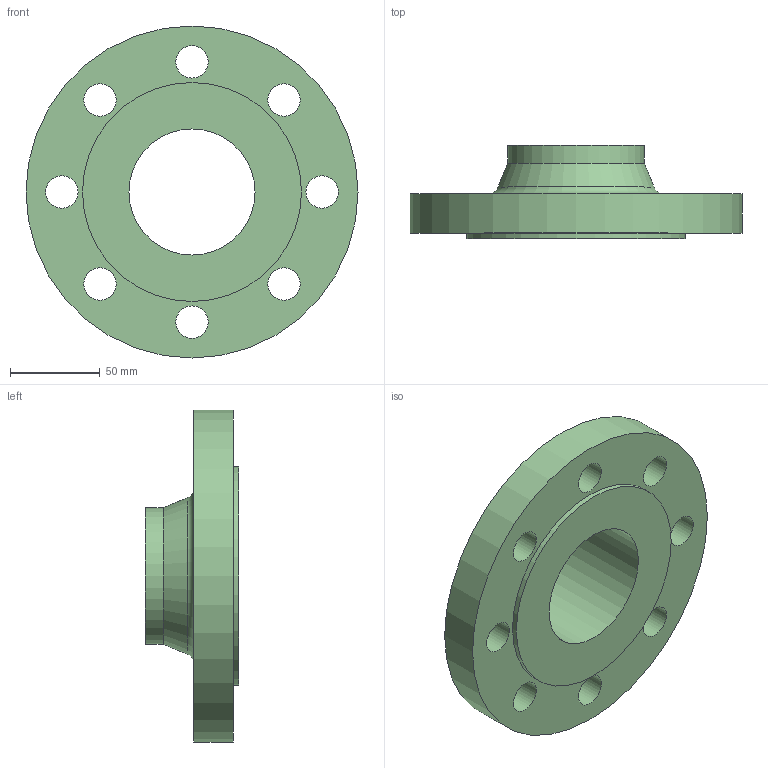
import cadquery as cq
import math

FLANGE_DIAMETER = 185.0
FACE_DIAMETER = 122.0
FACE_HEIGHT = 3.0
FLANGE_BACK = 25.0
OVERALL_LENGTH = 52.0

PIPE_DIAMETER = 76.1
PIPE_WALL = 2.9
BORE_DIAMETER = PIPE_DIAMETER - 2 * PIPE_WALL
WELD_END_LENGTH = 10.0

HUB_BASE_DIAMETER = 90.0
HUB_FILLET_RADIUS = 6.0

BOLT_COUNT = 8
BOLT_HOLE_DIAMETER = 18.0
BOLT_CIRCLE_DIAMETER = 145.0


def body():
    """Revolve the radial section (radius, Y) about the Y axis."""
    bore_radius = BORE_DIAMETER / 2
    face_radius = FACE_DIAMETER / 2
    flange_radius = FLANGE_DIAMETER / 2
    hub_radius = HUB_BASE_DIAMETER / 2
    pipe_radius = PIPE_DIAMETER / 2
    cone_top = OVERALL_LENGTH - WELD_END_LENGTH

    cone_tilt = math.atan2(hub_radius - pipe_radius, cone_top - FLANGE_BACK)
    corner_angle = math.pi / 2 + cone_tilt
    tangent_length = HUB_FILLET_RADIUS / math.tan(corner_angle / 2)
    fillet_outer = (hub_radius + tangent_length, FLANGE_BACK)
    fillet_upper = (
        hub_radius - tangent_length * math.sin(cone_tilt),
        FLANGE_BACK + tangent_length * math.cos(cone_tilt),
    )

    section = (
        cq.Workplane("XY")
        .moveTo(bore_radius, 0)
        .lineTo(face_radius, 0)
        .lineTo(face_radius, FACE_HEIGHT)
        .lineTo(flange_radius, FACE_HEIGHT)
        .lineTo(flange_radius, FLANGE_BACK)
        .lineTo(*fillet_outer)
        .radiusArc(fillet_upper, HUB_FILLET_RADIUS)
        .lineTo(pipe_radius, cone_top)
        .lineTo(pipe_radius, OVERALL_LENGTH)
        .lineTo(bore_radius, OVERALL_LENGTH)
        .close()
    )
    return section.revolve(360, (0, 0, 0), (0, 1, 0))


def bolt_holes():
    """Through-hole cutters, evenly spaced on the bolt circle."""
    return (
        cq.Workplane("XZ")
        .polarArray(BOLT_CIRCLE_DIAMETER / 2, 0, 360, BOLT_COUNT)
        .circle(BOLT_HOLE_DIAMETER / 2)
        .extrude(-OVERALL_LENGTH)
    )


result = body().cut(bolt_holes())